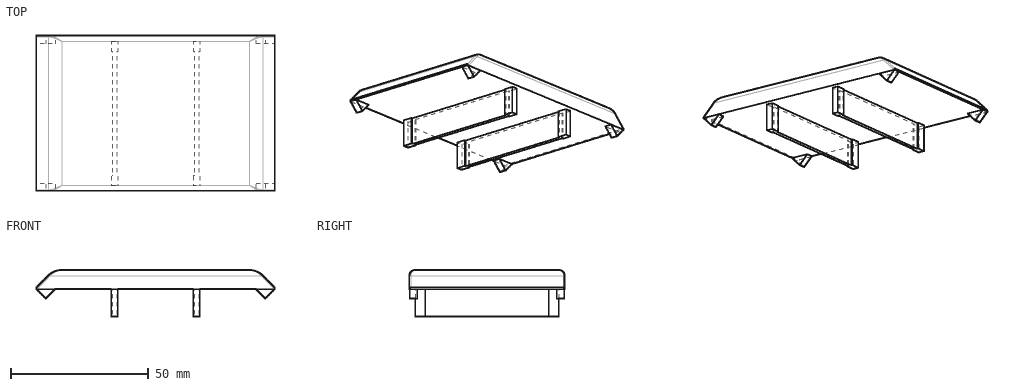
import cadquery as cq
import math

length = 87.0
width = 56.7
plate_height = 7.0
bevel_angle = math.radians(45)
lip_height = 0.6
crown_radius = 7.0
side_radius = 2.1
bevel_edge_radius = 0.5

hook_drop = 3.5
hook_length = 2.75
hook_inset = 0.1

rib_spacing = 29.9
rib_depth = 10.0
rib_span = 52.4
pad_thickness = 2.45
pad_length = 3.65
web_thickness = 1.5

half_length = length / 2
half_width = width / 2


def make_plate():
    """Extrude the profile with bevelled ends and curved crowns along Y."""
    bevel_rise = plate_height - lip_height
    tangent_length = crown_radius * math.tan(bevel_angle / 2)
    crown_x = half_length - bevel_rise - tangent_length
    bevel_top_x = half_length - bevel_rise + tangent_length * math.cos(bevel_angle)
    bevel_top_z = plate_height - tangent_length * math.sin(bevel_angle)
    crown_mid_x = crown_x + crown_radius * math.sin(bevel_angle / 2)
    crown_mid_z = plate_height - crown_radius * (1 - math.cos(bevel_angle / 2))

    return (
        cq.Workplane("XZ")
        .moveTo(-half_length, 0)
        .lineTo(half_length, 0)
        .lineTo(half_length, lip_height)
        .lineTo(bevel_top_x, bevel_top_z)
        .threePointArc((crown_mid_x, crown_mid_z), (crown_x, plate_height))
        .lineTo(-crown_x, plate_height)
        .threePointArc((-crown_mid_x, crown_mid_z), (-bevel_top_x, bevel_top_z))
        .lineTo(-half_length, lip_height)
        .close()
        .extrude(half_width, both=True)
    )


def round_sides(plate):
    """Round the top of both long sides straight through the full length."""
    side_profile = (
        cq.Workplane("YZ")
        .rect(width, 2 * plate_height)
        .extrude(half_length, both=True)
        .edges("|X and >Z")
        .fillet(side_radius)
    )
    return plate.intersect(side_profile)


def round_bevel_ends(plate):
    """Round the sloping edges where the bevels meet the long sides."""
    slope = math.sin(bevel_angle)
    for side_x in (-1, 1):
        direction = cq.Vector(side_x * slope, 0, -slope)
        plate = plate.edges(cq.selectors.ParallelDirSelector(direction)).fillet(bevel_edge_radius)
    return plate


def make_hook(side_x, side_y):
    """Triangular hook whose outer face starts at the plate corner."""
    outer_x = side_x * half_length
    return (
        cq.Workplane("XZ", origin=(0, side_y * (half_width - hook_inset - hook_length / 2), 0))
        .moveTo(outer_x, 0)
        .lineTo(outer_x - side_x * hook_drop, -hook_drop)
        .lineTo(outer_x - side_x * 2 * hook_drop, 0)
        .close()
        .extrude(hook_length / 2, both=True)
    )


def make_rib(x):
    """Web with a thicker pad at each end, hanging from the underside."""
    pad_y = (rib_span - pad_length) / 2
    web = cq.Workplane("XY").center(x, 0).rect(web_thickness, rib_span).extrude(-rib_depth)
    pads = (
        cq.Workplane("XY")
        .pushPoints([(x, -pad_y), (x, pad_y)])
        .rect(pad_thickness, pad_length)
        .extrude(-rib_depth)
    )
    return web.union(pads)


result = round_bevel_ends(round_sides(make_plate()))
for side_x in (-1, 1):
    for side_y in (-1, 1):
        result = result.union(make_hook(side_x, side_y))
    result = result.union(make_rib(side_x * rib_spacing / 2))